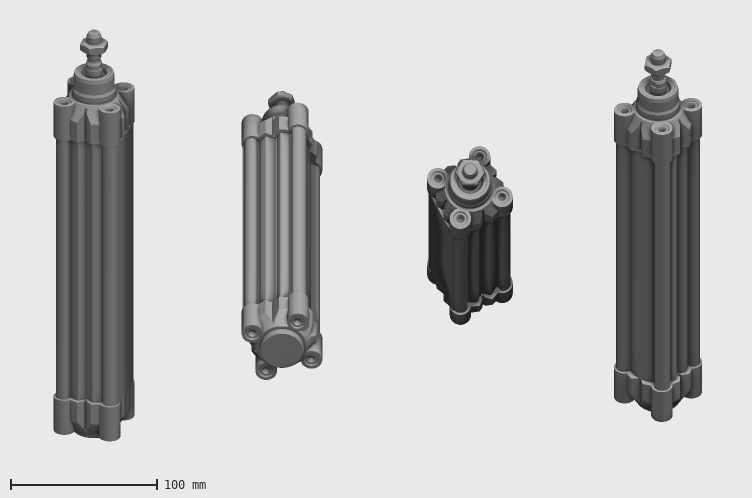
import cadquery as cq
import math

REAR_CAP_Z = 4.5
BARREL_BOTTOM_Z = 31.0
BARREL_TOP_Z = 231.5
OVERALL_LENGTH = 306.0

BOLT_OFFSET = 16.2
BOSS_RADIUS = 7.3
CAP_HEIGHT = BARREL_BOTTOM_Z - REAR_CAP_Z
RIB_TIP = (5.0, 23.3)
RIB_CREST = (4.3, 22.5)
RIB_OUTER = (10.5, 21.0)
GROOVE_SLOT_TOP = (1.0, 20.0)
GROOVE_FLOOR = 18.0
TAPER_RADIUS_LOW = math.hypot(*RIB_TIP)
TAPER_RADIUS_HIGH = 17.0
TAPER_HEIGHT = 11.3

RECESS_DIAMETER = 10.5
RECESS_FLOOR_DIAMETER = 8.5
RECESS_DEPTH = 1.0
SOCKET_TOP_DIAMETER = 6.0
SOCKET_BOTTOM_DIAMETER = 2.1
SOCKET_DEPTH = 3.0

COLLAR_RADIUS = 15.0
REAR_CHAMFER = 1.0
NOSE_RADIUS = 14.0
NOSE_TIP_RADIUS = 13.5
COLLAR_SHOULDER_Z = 263.0
NOSE_START_Z = 264.7
NOSE_TAPER_Z = 273.0
NOSE_TOP_Z = 275.7

WIPER_MOUTH_RADIUS = 12.2
WIPER_RADIUS = 11.0
WIPER_DEPTH = 0.5
SEAL_MOUTH_RADIUS = 9.2
SEAL_RADIUS = 8.0
SEAL_DEPTH = 3.0

BARREL_CORNER_RADIUS = 5.8
BARREL_PANEL_RADIUS = 20.0
FLANK_TOP = (14.5, 21.7)
FLANK_FOOT = (10.0, 17.0)
PANEL_EDGE = 9.2
CHANNEL_EDGE = (13.0, 20.2)
CHANNEL_FLOOR_SPAN = (10.7, 12.0)
CHANNEL_INNER = 9.8
CHANNEL_FLOOR = 17.0
RAIL_OUTER = 18.0
RAIL_TIP = (6.0, 20.0)
RAIL_CREST = (5.2, 20.2)
RAIL_INNER = (4.3, 19.5)
RAIL_VALLEY = (1.8, 17.5)
RAIL_SLOT_HALF = 1.0
RAIL_SLOT_FLOOR = 16.5
PLATE_X = 23.0
PLATE_HALF_WIDTH = 17.5

ROD_RADIUS = 12.0 / 2
ACROSS_FLATS = 10.0
FLAT_BOTTOM_Z = 279.5
SHANK_RADIUS = 11.3 / 2
SHANK_TAPER_HEIGHT = 1.0
SHOULDER_Z = 284.3
SHOULDER_CHAMFER = 1.0
SHOULDER_CHAMFER_HEIGHT = 1.8
NECK_RADIUS = 4.3
THREAD_RADIUS = 10.0 / 2
THREAD_START_Z = 287.3
THREAD_RUNOUT = THREAD_RADIUS - NECK_RADIUS
TIP_RADIUS = 4.0
TIP_CHAMFER_Z = 303.5

NUT_BOTTOM_Z = 292.5
NUT_HEIGHT = 6.0
NUT_SIDES = 6
NUT_ACROSS_FLATS = 17.0
NUT_FACE_RADIUS = 8.0
NUT_BEVEL_ANGLE = 30


def revolve_profile(points):
    """Revolve (radius, height) points about the Z axis."""
    return cq.Workplane("XZ").polyline(points).close().revolve(360, (0, 0), (0, 1))


def corner_points():
    """Centres of the four corner bosses."""
    return [(sx * BOLT_OFFSET, sy * BOLT_OFFSET) for sx in (-1, 1) for sy in (-1, 1)]


def bolt_recess():
    """Stepped recess with a conical floor, measured down from z = 0."""
    return revolve_profile([
        (0, 0),
        (RECESS_DIAMETER / 2, 0),
        (RECESS_FLOOR_DIAMETER / 2, -RECESS_DEPTH),
        (SOCKET_TOP_DIAMETER / 2, -RECESS_DEPTH),
        (SOCKET_BOTTOM_DIAMETER / 2, -RECESS_DEPTH - SOCKET_DEPTH),
        (0, -RECESS_DEPTH - SOCKET_DEPTH),
    ])


def cap_body():
    """Ribbed body with four bosses, sitting on z = 0 and tapering upwards."""
    right_half = [(GROOVE_SLOT_TOP[0], GROOVE_FLOOR), GROOVE_SLOT_TOP, RIB_CREST, RIB_TIP, RIB_OUTER]
    side = [(-x, y) for x, y in reversed(right_half)] + right_half
    outline = []
    for quarter in range(4):
        angle = -quarter * math.pi / 2
        cosine, sine = math.cos(angle), math.sin(angle)
        outline += [(x * cosine - y * sine, x * sine + y * cosine) for x, y in side]
    body = cq.Workplane("XY").polyline(outline).close().extrude(CAP_HEIGHT)
    taper = revolve_profile([
        (0, 0),
        (TAPER_RADIUS_LOW, 0),
        (TAPER_RADIUS_LOW, CAP_HEIGHT - TAPER_HEIGHT),
        (TAPER_RADIUS_HIGH, CAP_HEIGHT),
        (0, CAP_HEIGHT),
    ])
    bosses = cq.Workplane("XY").pushPoints(corner_points()).circle(BOSS_RADIUS).extrude(CAP_HEIGHT)
    body = body.intersect(taper).union(bosses)
    for x, y in corner_points():
        body = body.cut(bolt_recess().translate((x, y, CAP_HEIGHT)))
    return body


def make_front_cap():
    """Cap with a stepped nose and a passage for the rod."""
    nose = revolve_profile([
        (0, BARREL_TOP_Z),
        (COLLAR_RADIUS, BARREL_TOP_Z),
        (COLLAR_RADIUS, COLLAR_SHOULDER_Z),
        (NOSE_RADIUS, NOSE_START_Z),
        (NOSE_RADIUS, NOSE_TAPER_Z),
        (NOSE_TIP_RADIUS, NOSE_TOP_Z),
        (0, NOSE_TOP_Z),
    ])
    rod_passage = revolve_profile([
        (0, BARREL_TOP_Z),
        (ROD_RADIUS, BARREL_TOP_Z),
        (ROD_RADIUS, NOSE_TOP_Z - SEAL_DEPTH),
        (SEAL_RADIUS, NOSE_TOP_Z - SEAL_DEPTH),
        (SEAL_MOUTH_RADIUS, NOSE_TOP_Z - WIPER_DEPTH),
        (WIPER_RADIUS, NOSE_TOP_Z - WIPER_DEPTH),
        (WIPER_MOUTH_RADIUS, NOSE_TOP_Z),
        (0, NOSE_TOP_Z),
    ])
    return cap_body().translate((0, 0, BARREL_TOP_Z)).union(nose).cut(rod_passage)


def make_rear_cap():
    """Mirrored cap with a plain centring spigot."""
    body = cap_body().mirror("XY").translate((0, 0, BARREL_BOTTOM_Z))
    spigot = cq.Workplane("XY").circle(COLLAR_RADIUS).extrude(BARREL_BOTTOM_Z)
    return body.union(spigot.faces("<Z").chamfer(REAR_CHAMFER))


def corner_arc_point(x, y):
    """Point on the rounded corner, on its diagonal, with the signs of x and y."""
    reach = BOLT_OFFSET + BARREL_CORNER_RADIUS * math.sqrt(0.5)
    return (math.copysign(reach, x), math.copysign(reach, y))


def make_barrel():
    """Extruded barrel profile between the caps."""
    panel_x = math.sqrt(BARREL_PANEL_RADIUS**2 - PANEL_EDGE**2)
    rail_half = [
        FLANK_TOP,
        CHANNEL_EDGE,
        (CHANNEL_FLOOR_SPAN[1], CHANNEL_FLOOR),
        (CHANNEL_FLOOR_SPAN[0], CHANNEL_FLOOR),
        (CHANNEL_INNER, RAIL_OUTER),
        RAIL_TIP,
        RAIL_CREST,
        RAIL_INNER,
        RAIL_VALLEY,
        (RAIL_SLOT_HALF, RAIL_VALLEY[1]),
        (RAIL_SLOT_HALF, RAIL_SLOT_FLOOR),
    ]
    upper = rail_half + [(-x, y) for x, y in reversed(rail_half)]
    lower = [(-x, -y) for x, y in upper]
    profile = cq.Workplane("XY").polyline(upper)
    profile = profile.threePointArc(corner_arc_point(-1, 1), (-FLANK_TOP[1], FLANK_TOP[0]))
    profile = profile.lineTo(-FLANK_FOOT[1], FLANK_FOOT[0]).lineTo(-panel_x, PANEL_EDGE)
    profile = profile.threePointArc((-BARREL_PANEL_RADIUS, 0), (-panel_x, -PANEL_EDGE))
    profile = profile.lineTo(-FLANK_FOOT[1], -FLANK_FOOT[0]).lineTo(-FLANK_TOP[1], -FLANK_TOP[0])
    profile = profile.threePointArc(corner_arc_point(-1, -1), lower[0])
    for x, y in lower[1:]:
        profile = profile.lineTo(x, y)
    profile = profile.threePointArc(corner_arc_point(1, -1), (FLANK_TOP[1], -FLANK_TOP[0]))
    profile = profile.lineTo(FLANK_TOP[1], FLANK_TOP[0])
    profile = profile.threePointArc(corner_arc_point(1, 1), upper[0])
    length = BARREL_TOP_Z - BARREL_BOTTOM_Z
    barrel = profile.close().extrude(length)
    plate_width = PLATE_X - BOLT_OFFSET
    plate = cq.Workplane("XY").box(plate_width, 2 * PLATE_HALF_WIDTH, length, centered=(False, True, False))
    barrel = barrel.union(plate.translate((BOLT_OFFSET, 0, 0)))
    return barrel.translate((0, 0, BARREL_BOTTOM_Z))


def make_rod():
    """Rod from the inner face of the front cap to the threaded tip."""
    rod = revolve_profile([
        (0, BARREL_TOP_Z),
        (ROD_RADIUS, BARREL_TOP_Z),
        (ROD_RADIUS, FLAT_BOTTOM_Z - SHANK_TAPER_HEIGHT),
        (SHANK_RADIUS, FLAT_BOTTOM_Z),
        (SHANK_RADIUS, SHOULDER_Z - SHOULDER_CHAMFER_HEIGHT),
        (SHANK_RADIUS - SHOULDER_CHAMFER, SHOULDER_Z),
        (NECK_RADIUS, SHOULDER_Z),
        (NECK_RADIUS, THREAD_START_Z - THREAD_RUNOUT),
        (THREAD_RADIUS, THREAD_START_Z),
        (THREAD_RADIUS, TIP_CHAMFER_Z),
        (TIP_RADIUS, OVERALL_LENGTH),
        (0, OVERALL_LENGTH),
    ])
    flat_height = SHOULDER_Z - FLAT_BOTTOM_Z
    flat = (
        cq.Workplane("XY")
        .box(ROD_RADIUS, 2 * ROD_RADIUS, flat_height, centered=(False, True, False))
        .translate((ACROSS_FLATS / 2, 0, FLAT_BOTTOM_Z))
    )
    return rod.cut(flat).cut(flat.mirror("YZ"))


def make_nut():
    """Hexagonal lock nut, bevelled on both faces."""
    corner_radius = NUT_ACROSS_FLATS / 2 / math.cos(math.pi / NUT_SIDES)
    bevel_height = (corner_radius - NUT_FACE_RADIUS) * math.tan(math.radians(NUT_BEVEL_ANGLE))
    nut = cq.Workplane("XY").polygon(NUT_SIDES, 2 * corner_radius).extrude(NUT_HEIGHT)
    nut = nut.rotate((0, 0, 0), (0, 0, 1), 180 / NUT_SIDES)
    bevels = revolve_profile([
        (THREAD_RADIUS, 0),
        (NUT_FACE_RADIUS, 0),
        (corner_radius, bevel_height),
        (corner_radius, NUT_HEIGHT - bevel_height),
        (NUT_FACE_RADIUS, NUT_HEIGHT),
        (THREAD_RADIUS, NUT_HEIGHT),
    ])
    return nut.intersect(bevels).translate((0, 0, NUT_BOTTOM_Z))


rear_cap = make_rear_cap()
barrel = make_barrel()
front_cap = make_front_cap()
rod = make_rod()
nut = make_nut()

result = cq.Compound.makeCompound([rear_cap.val(), barrel.val(), front_cap.val(), rod.val(), nut.val()])